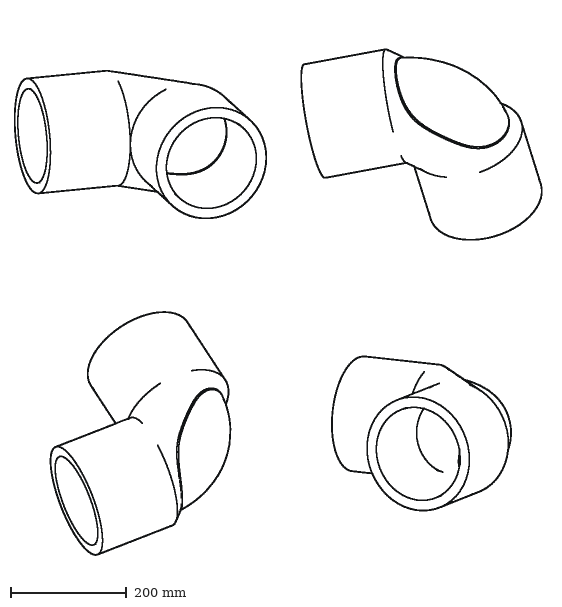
import cadquery as cq
import math

outer_radius = 100.0
wall = 18.2
leg_length = 145.0
bend_angle = 90.0
dome_root = 2.0

bore_radius = outer_radius - wall
bend_radius = outer_radius


def leg_along_y(radius):
    """Straight cylinder running from the bend towards -Y."""
    return (
        cq.Workplane("XZ")
        .center(-bend_radius, 0)
        .circle(radius)
        .extrude(leg_length)
    )


def leg_along_x(radius):
    """Straight cylinder running from the bend towards +X."""
    return (
        cq.Workplane("YZ")
        .center(bend_radius, 0)
        .circle(radius)
        .extrude(leg_length)
    )


def mitre_link(radius):
    """Diagonal cylinder joining the end circles of the two legs.

    Its cross-section is an ellipse: the leg circle narrowed by the slant of the diagonal.
    """
    slant = math.radians(bend_angle / 2)
    reach = 2 * outer_radius
    start_plane = cq.Plane(
        origin=(-bend_radius - reach, -reach, 0),
        xDir=(1, -1, 0),
        normal=(1, 1, 0),
    )
    link = (
        cq.Workplane(start_plane)
        .ellipse(radius * math.cos(slant), radius)
        .extrude(3 * reach)
    )
    between_legs = (
        cq.Workplane("XY")
        .box(2 * reach, 2 * reach, 2 * reach)
        .translate((-reach, reach, 0))
    )
    return link.intersect(between_legs)


def bend_torus():
    """Quarter torus of bore size, swept around the bend pivot from one leg to the other."""
    return (
        cq.Workplane("XZ")
        .center(-bend_radius, 0)
        .circle(bore_radius)
        .revolve(bend_angle, (bend_radius, 0), (bend_radius, -1))
    )


def elbow_body():
    """Solid elbow: two legs, the mitre link and the torus standing out of it as a dome."""
    body = leg_along_y(outer_radius).union(leg_along_x(outer_radius))
    return body.union(mitre_link(outer_radius)).union(bend_torus())


def elbow_bore():
    """Flow passage: the leg bores and the bend torus, stopped just inside the mitre link."""
    bend_bore = bend_torus().intersect(mitre_link(outer_radius - dome_root))
    return leg_along_y(bore_radius).union(bend_bore).union(leg_along_x(bore_radius))


result = cq.Workplane(elbow_body().cut(elbow_bore()).solids().val())